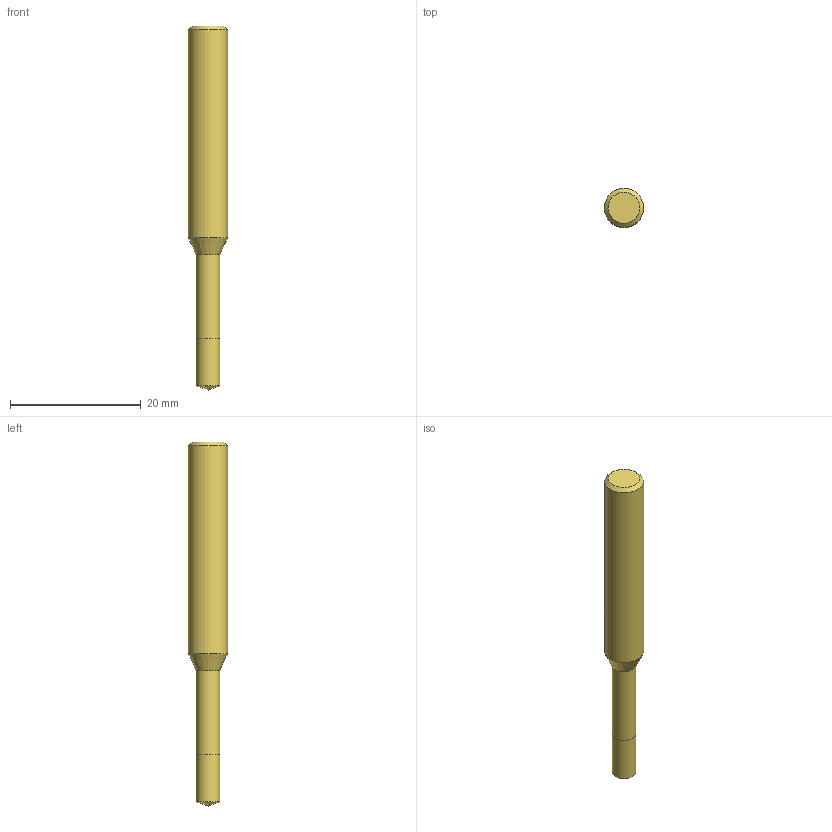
import cadquery as cq
import math

shank_diameter = 6.0
drill_diameter = 3.6
point_angle = 140.0
body_length = 55.0
cutting_length = 7.2
neck_length = 12.85
taper_angle = 25.0
shank_chamfer = 0.6

shank_radius = shank_diameter / 2
drill_radius = drill_diameter / 2
point_height = drill_radius / math.tan(math.radians(point_angle / 2))
taper_length = (shank_radius - drill_radius) / math.tan(math.radians(taper_angle))

head_top = point_height + cutting_length
neck_top = head_top + neck_length
taper_top = neck_top + taper_length
shank_top = point_height + body_length


def revolve_profile(points):
    """Revolve a closed (radius, height) outline a full turn about Z."""
    outline = cq.Workplane("XZ").polyline(points).close()
    return outline.revolve(360, (0, 0, 0), (0, 1, 0))


def make_cutting_head():
    """Cylindrical head with a conical drill point."""
    return revolve_profile([
        (0, 0),
        (drill_radius, point_height),
        (drill_radius, head_top),
        (0, head_top),
    ])


def make_shank():
    """Slim neck widening through a cone into the chamfered shank."""
    return revolve_profile([
        (0, head_top),
        (drill_radius, head_top),
        (drill_radius, neck_top),
        (shank_radius, taper_top),
        (shank_radius, shank_top - shank_chamfer),
        (shank_radius - shank_chamfer, shank_top),
        (0, shank_top),
    ])


cutting_head = make_cutting_head()
shank = make_shank()

result = cq.Compound.makeCompound([cutting_head.val(), shank.val()])